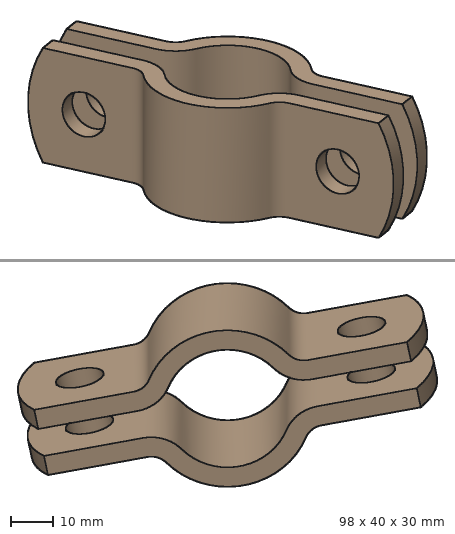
import cadquery as cq
import math

total_length = 98.0
strap_width = 30.0
thickness = 5.0
bore_radius = 15.0
flange_gap = 7.0
bend_radius = 5.0
end_radius = 30.0
hole_diameter = 11.5
hole_spacing = 68.0

saddle_radius = bore_radius + thickness
flange_inner_y = flange_gap / 2
flange_outer_y = flange_inner_y + thickness
half_length = total_length / 2

bend_center_y = flange_outer_y + bend_radius
bend_center_x = math.sqrt((saddle_radius + bend_radius) ** 2 - bend_center_y ** 2)
tangent_angle = math.atan2(bend_center_y, bend_center_x)
bend_middle_angle = -(3 * math.pi / 2 - tangent_angle) / 2


def saddle_end(radius):
    """Point where the saddle arc of this radius meets the +X bend."""
    return (radius * math.cos(tangent_angle), radius * math.sin(tangent_angle))


def bend_middle(radius):
    """Midpoint of the +X bend arc of this radius."""
    return (
        bend_center_x + radius * math.cos(bend_middle_angle),
        bend_center_y + radius * math.sin(bend_middle_angle),
    )


def mirrored(point):
    return (-point[0], point[1])


def strap_blank():
    """Bent strap with square ends."""
    outer_bend = bend_middle(bend_radius)
    inner_bend = bend_middle(bend_radius + thickness)
    outer_saddle = saddle_end(saddle_radius)
    inner_saddle = saddle_end(bore_radius)
    return (
        cq.Workplane("XY")
        .workplane(offset=-strap_width / 2)
        .moveTo(-half_length, flange_outer_y)
        .lineTo(-bend_center_x, flange_outer_y)
        .threePointArc(mirrored(outer_bend), mirrored(outer_saddle))
        .threePointArc((0, saddle_radius), outer_saddle)
        .threePointArc(outer_bend, (bend_center_x, flange_outer_y))
        .lineTo(half_length, flange_outer_y)
        .lineTo(half_length, flange_inner_y)
        .lineTo(bend_center_x, flange_inner_y)
        .threePointArc(inner_bend, inner_saddle)
        .threePointArc((0, bore_radius), mirrored(inner_saddle))
        .threePointArc(mirrored(inner_bend), (-bend_center_x, flange_inner_y))
        .lineTo(-half_length, flange_inner_y)
        .close()
        .extrude(strap_width)
    )


def end_outline():
    """Prism along Y that trims both flange ends to arcs."""
    half_width = strap_width / 2
    corner_x = half_length - end_radius + math.sqrt(end_radius ** 2 - half_width ** 2)
    return (
        cq.Workplane("XZ")
        .moveTo(-corner_x, -half_width)
        .lineTo(corner_x, -half_width)
        .threePointArc((half_length, 0), (corner_x, half_width))
        .lineTo(-corner_x, half_width)
        .threePointArc((-half_length, 0), (-corner_x, -half_width))
        .close()
        .extrude(-saddle_radius)
    )


def bolt_holes():
    """One bolt hole through each flange."""
    return (
        cq.Workplane("XZ")
        .pushPoints([(-hole_spacing / 2, 0), (hole_spacing / 2, 0)])
        .circle(hole_diameter / 2)
        .extrude(-saddle_radius)
    )


def clamp_half():
    """Clamp half on the +Y side."""
    return strap_blank().intersect(end_outline()).cut(bolt_holes())


half_turns = (0, 180)
clamp_halves = [clamp_half().rotate((0, 0, 0), (0, 0, 1), turn) for turn in half_turns]

result = cq.Compound.makeCompound([half.val() for half in clamp_halves])